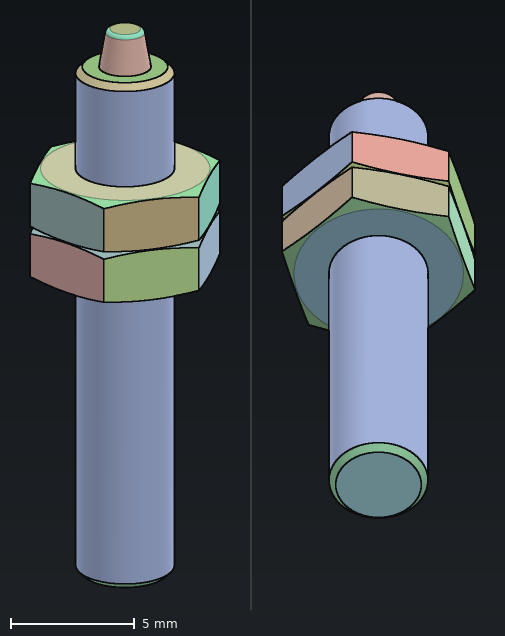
import cadquery as cq
import math

total_height = 23.7
shank_diameter = 4.0
shank_end_diameter = 3.45
tip_height = 1.65
tip_base_diameter = 2.1
tip_top_diameter = 1.56
tip_fillet = 0.2

nut_count = 2
nut_width = 7.0
nut_height = 2.2
nut_stack_bottom = 13.2
nut_face_diameter = 6.85
nut_chamfer_angle = 15.0

shank_height = total_height - tip_height
shank_chamfer = (shank_diameter - shank_end_diameter) / 2
nut_corner_diameter = nut_width / math.cos(math.radians(30))
nut_chamfer_radial = (nut_corner_diameter - nut_face_diameter) / 2
nut_chamfer_height = nut_chamfer_radial * math.tan(math.radians(nut_chamfer_angle))


def make_pin():
    """Round shank chamfered at both ends, with a rounded conical tip on top."""
    shank = (
        cq.Workplane("XY")
        .circle(shank_diameter / 2)
        .extrude(shank_height)
        .faces("<Z or >Z")
        .chamfer(shank_chamfer)
    )
    tip = (
        cq.Workplane("XY", origin=(0, 0, shank_height))
        .circle(tip_base_diameter / 2)
        .workplane(offset=tip_height)
        .circle(tip_top_diameter / 2)
        .loft(ruled=True)
        .faces(">Z")
        .edges()
        .fillet(tip_fillet)
    )
    return shank.union(tip)


def make_nut(bottom):
    """Hexagon nut with flats facing +X and -X, corners chamfered on both faces."""
    base = cq.Workplane("XY", origin=(0, 0, bottom))
    hexagon = base.polygon(6, nut_corner_diameter).extrude(nut_height)
    hexagon = hexagon.rotate((0, 0, 0), (0, 0, 1), 30)
    chamfer_envelope = (
        base.circle(nut_corner_diameter / 2)
        .extrude(nut_height)
        .faces("<Z or >Z")
        .edges()
        .chamfer(nut_chamfer_height, nut_chamfer_radial)
    )
    bore = base.circle(shank_diameter / 2).extrude(nut_height)
    return hexagon.intersect(chamfer_envelope).cut(bore)


pin = make_pin()
nuts = [make_nut(nut_stack_bottom + index * nut_height) for index in range(nut_count)]

result = cq.Compound.makeCompound([pin.val(), *[nut.val() for nut in nuts]])